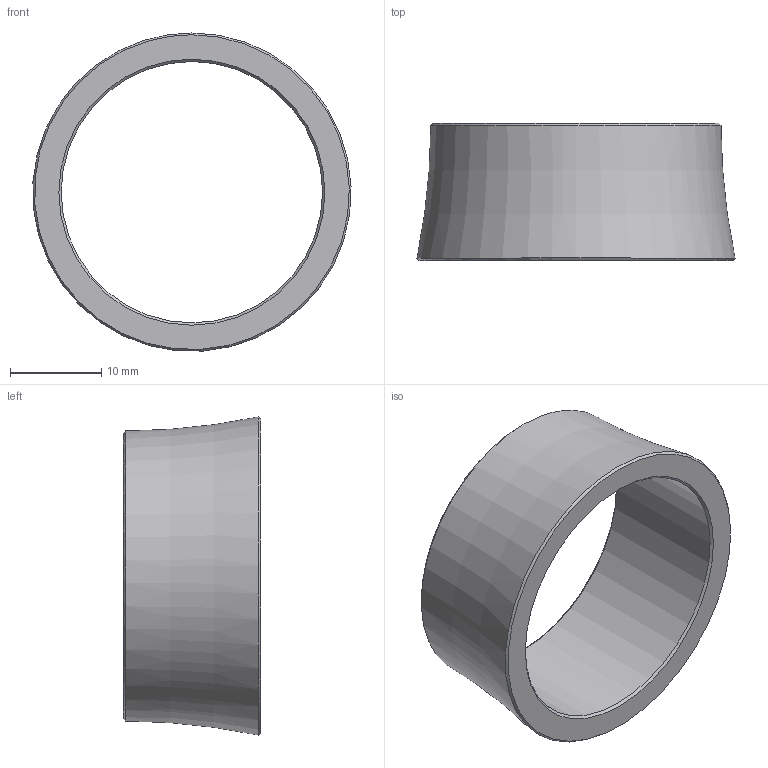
import cadquery as cq
import math

width = 14.986
bore_diameter = 28.575
narrow_diameter = 31.75
wide_diameter = 34.925
edge_chamfer = 0.254

bore_radius = bore_diameter / 2
narrow_radius = narrow_diameter / 2
wide_radius = wide_diameter / 2

flare = wide_radius - narrow_radius
flare_arc_radius = (width**2 + flare**2) / (2 * flare)


def outer_radius(y):
    """Radius of the outer wall at position y along the axis."""
    distance_from_narrow_end = width - y
    arc_drop = math.sqrt(flare_arc_radius**2 - distance_from_narrow_end**2)
    return narrow_radius + flare_arc_radius - arc_drop


def ring_blank():
    """Revolve the wall section; local x is Y and local y is the radius."""
    section = (
        cq.Workplane("YZ")
        .moveTo(0, bore_radius)
        .lineTo(0, wide_radius)
        .threePointArc((width / 2, outer_radius(width / 2)), (width, narrow_radius))
        .lineTo(width, bore_radius)
        .close()
    )
    return section.revolve(360, (0, 0), (1, 0))


def chamfer_end_edges(ring):
    """Break the inner and outer edges of both end faces."""
    return ring.faces("<Y or >Y").edges().chamfer(edge_chamfer)


result = chamfer_end_edges(ring_blank())